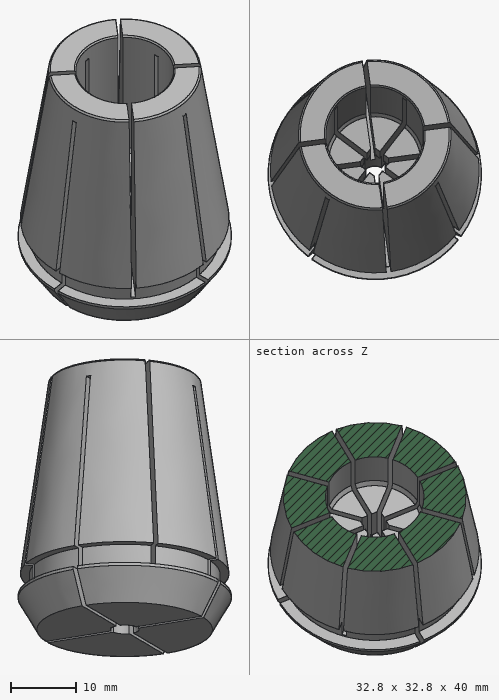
import cadquery as cq
import math

height = 40.0

nose_angle = 30.0
rim_radius = 16.4
rim_top = 5.5
rim_thickness = 0.5

neck_radius = 14.65
neck_top = 9.0

taper_angle = 8.0
taper_large_radius = 16.05
top_chamfer = 0.3

clearance_radius = 7.5
clearance_depth = 24.0
bore_chamfer = 0.25
floor_radius = 7.1
floor_cone_angle = 30.0

square_width = 3.55
square_depth = 6.0
grip_radius = 2.2

slit_width = 0.7
lower_slit_top = 37.5
upper_slit_bottom = 5.9
slit_length = 3 * rim_radius

nose_top = rim_top - rim_thickness
nose_radius = rim_radius - nose_top * math.tan(math.radians(nose_angle))
taper_slope = math.tan(math.radians(taper_angle))
chamfer_bottom = height - top_chamfer
chamfer_radius = taper_large_radius - (chamfer_bottom - neck_top) * taper_slope
clearance_floor = height - clearance_depth
floor_cone_height = (clearance_radius - floor_radius) / math.tan(math.radians(floor_cone_angle))
square_bottom = clearance_floor - square_depth


def collet_body():
    """Revolve the half section: outer side and clearance bore together."""
    return (
        cq.Workplane("XZ")
        .lineTo(nose_radius, 0)
        .lineTo(rim_radius, nose_top)
        .lineTo(rim_radius, rim_top)
        .lineTo(neck_radius, rim_top)
        .lineTo(neck_radius, neck_top)
        .lineTo(taper_large_radius, neck_top)
        .lineTo(chamfer_radius, chamfer_bottom)
        .lineTo(chamfer_radius - top_chamfer, height)
        .lineTo(clearance_radius + bore_chamfer, height)
        .lineTo(clearance_radius, height - bore_chamfer)
        .lineTo(clearance_radius, clearance_floor + floor_cone_height)
        .lineTo(floor_radius, clearance_floor)
        .lineTo(0, clearance_floor)
        .close()
        .revolve(360, (0, 0, 0), (0, 1, 0))
    )


def grip_bore():
    """Round hole from the nose, continued by a square socket up to the clearance floor."""
    round_hole = cq.Workplane("XY").circle(grip_radius).extrude(square_bottom)
    square_socket = (
        cq.Workplane("XY")
        .workplane(offset=square_bottom)
        .rect(square_width, square_width)
        .extrude(square_depth)
    )
    return round_hole.union(square_socket)


def slit(angle, bottom, top):
    """Thin upright blade through the axis; it cuts two opposite walls."""
    return (
        cq.Workplane("XY")
        .workplane(offset=bottom)
        .rect(slit_length, slit_width)
        .extrude(top - bottom)
        .rotate((0, 0, 0), (0, 0, 1), angle)
    )


result = collet_body().cut(grip_bore())

for angle in (0, 90):
    result = result.cut(slit(angle, 0, lower_slit_top))
    result = result.cut(slit(angle + 45, upper_slit_bottom, height))